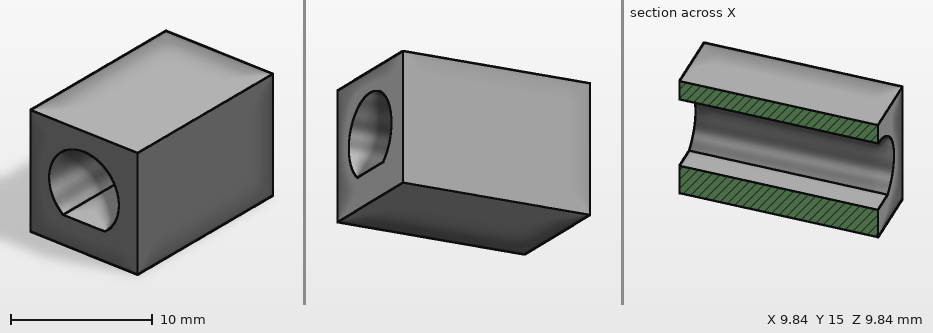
import cadquery as cq

width = 9.84
length = 15.0
height = 9.84

bore_diameter = 6.4
bore_center_z = 0.08
flat_depth = 2.56

block = cq.Workplane("XY").box(width, length, height)


def d_bore():
    """Round bore with its lower segment cut off by a horizontal flat."""
    radius = bore_diameter / 2
    cylinder = cq.Workplane("XZ").circle(radius).extrude(length / 2, both=True)
    kept_height = radius + flat_depth
    above_flat = cq.Workplane("XY").box(bore_diameter, length, kept_height, centered=(True, True, False))
    bore = cylinder.intersect(above_flat.translate((0, 0, -flat_depth)))
    return bore.translate((0, 0, bore_center_z))


result = block.cut(d_bore())